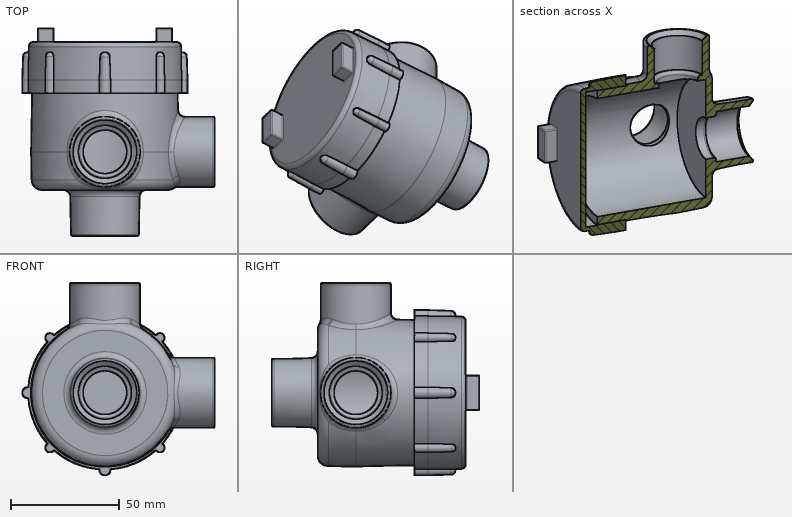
import cadquery as cq
import math


MOUTH_Y = 27.1
FLOOR_Y = -17.7
PARTING_RADIUS = 34.25
MOUTH_RADIUS = 33.7
FLOOR_RADIUS = 33.85
FLOOR_EDGE_FILLET = 5.0
FLOOR_THICKNESS = 3.5
CAVITY_DIAMETER = 58.0
NECK_DIAMETER = 66.42
NECK_LENGTH = 15.0
SEAM_ANGLE = 45

SIDE_DIRECTIONS = ("+X", "+Z")
SIDE_SPIGOT_RADIUS = 32.54 / 2
SIDE_SPIGOT_END = 50.8
AXIAL_SPIGOT_END = 38.92
AXIAL_SPIGOT_ROOT_RADIUS = 16.3
AXIAL_SPIGOT_END_RADIUS = 15.75
SPIGOT_ROOT = 10.0
SPIGOT_ROOT_FILLET = 3.0
RIM_FILLET = 0.9
BORE_RADIUS = 24.51 / 2
SIDE_BORE_DEPTH = 19.0
AXIAL_BORE_DEPTH = 19.0
LEAD_IN_RADIUS = 29.4 / 2
LEAD_IN_DEPTH = 2.2
THROAT_RADIUS = 20.12 / 2
THROAT_FILLET = 1.6

EDGE_MARGIN = 0.5
ROOT_EDGE_NEAR = 25.0

COVER_END_Y = 50.8
COVER_SKIRT_Y = 33.3
COVER_SKIRT_RADIUS = 35.55
COVER_END_RADIUS = 35.25
COVER_EDGE_FILLET = 2.2
COVER_THICKNESS = 3.0
COVER_INNER_Y = COVER_END_Y - COVER_THICKNESS

RIB_TIP_RADIUS = 38.25
AXIS_RIB_RADIUS = 2.6
AXIS_RIB_CENTRE = RIB_TIP_RADIUS - AXIS_RIB_RADIUS
DIAGONAL_RIB_RADIUS = 2.15
DIAGONAL_RIB_CENTRE = 36.0
RIB_TAPER = 0.87
RIB_END_Y = 46.1

LUG_TOP_Y = 57.12
LUG_WIDTH = 7.4
LUG_LENGTH = 16.1
LUG_SPACING = 54.7
LUG_FILLET = 0.5
LUG_ROOT_FILLET = 0.4


def revolve_about_y(profile):
    return profile.close().revolve(360, (0, 0, 0), (0, 1, 0))


def point_along(solid, direction):
    """Turn a solid whose axis points along -Y so that it points along -Y, +X or +Z."""
    if direction == "+X":
        return solid.rotate((0, 0, 0), (0, 0, 1), 90)
    if direction == "+Z":
        return solid.rotate((0, 0, 0), (1, 0, 0), -90)
    return solid


def spigot_blank(root_radius, end_radius, end):
    """Solid spigot along -Y with a rounded outer rim."""
    rim = end - RIM_FILLET
    arc_mid = RIM_FILLET * (1 - math.sqrt(0.5))
    return revolve_about_y(
        cq.Workplane("XY")
        .moveTo(0, -SPIGOT_ROOT)
        .lineTo(root_radius, -SPIGOT_ROOT)
        .lineTo(end_radius, -rim)
        .threePointArc((end_radius - arc_mid, -end + arc_mid), (end_radius - RIM_FILLET, -end))
        .lineTo(0, -end)
    )


def spigot_bore(end, depth):
    """Chamfered socket that ends in a rounded lip, with a narrower throat behind it."""
    bottom = end - depth
    arc_mid = THROAT_FILLET * (1 - math.sqrt(0.5))
    return revolve_about_y(
        cq.Workplane("XY")
        .moveTo(0, -end)
        .lineTo(LEAD_IN_RADIUS, -end)
        .lineTo(BORE_RADIUS, -end + LEAD_IN_DEPTH)
        .lineTo(BORE_RADIUS, -bottom)
        .lineTo(THROAT_RADIUS + THROAT_FILLET, -bottom)
        .threePointArc((THROAT_RADIUS + arc_mid, -bottom + arc_mid), (THROAT_RADIUS, -bottom + THROAT_FILLET))
        .lineTo(THROAT_RADIUS, 0)
        .lineTo(0, 0)
    )


def fillet_spigot_roots(body):
    """Round the closed edges where the three spigots leave the shell."""
    reach = SIDE_SPIGOT_RADIUS + EDGE_MARGIN
    near = ROOT_EDGE_NEAR
    far = PARTING_RADIUS + EDGE_MARGIN
    boxes = [
        ((-reach, FLOOR_Y - EDGE_MARGIN, -reach), (reach, FLOOR_Y + EDGE_MARGIN, reach)),
        ((near, -reach, -reach), (far, reach, reach)),
        ((-reach, -reach, near), (reach, reach, far)),
    ]
    for low, high in boxes:
        root_edges = cq.selectors.BoxSelector(low, high, boundingbox=True)
        body = body.edges(root_edges).fillet(SPIGOT_ROOT_FILLET)
    return body


def make_body():
    shell = revolve_about_y(
        cq.Workplane("XY")
        .moveTo(0, FLOOR_Y)
        .lineTo(FLOOR_RADIUS, FLOOR_Y)
        .lineTo(PARTING_RADIUS, 0)
        .lineTo(MOUTH_RADIUS, MOUTH_Y)
        .lineTo(0, MOUTH_Y)
    )
    shell = shell.faces("<Y").edges().fillet(FLOOR_EDGE_FILLET)

    shell = shell.rotate((0, 0, 0), (0, 1, 0), SEAM_ANGLE)

    side_spigot = spigot_blank(SIDE_SPIGOT_RADIUS, SIDE_SPIGOT_RADIUS, SIDE_SPIGOT_END)
    side_spigot = side_spigot.rotate((0, 0, 0), (0, 1, 0), SEAM_ANGLE)
    axial_spigot = spigot_blank(AXIAL_SPIGOT_ROOT_RADIUS, AXIAL_SPIGOT_END_RADIUS, AXIAL_SPIGOT_END)
    body = shell.union(axial_spigot)
    for direction in SIDE_DIRECTIONS:
        body = body.union(point_along(side_spigot, direction))
    body = fillet_spigot_roots(body)

    neck = cq.Workplane("XZ", origin=(0, MOUTH_Y, 0)).circle(NECK_DIAMETER / 2).extrude(-NECK_LENGTH)
    cavity_start = FLOOR_Y + FLOOR_THICKNESS
    cavity = (
        cq.Workplane("XZ", origin=(0, cavity_start, 0))
        .circle(CAVITY_DIAMETER / 2)
        .extrude(-(MOUTH_Y + NECK_LENGTH - cavity_start))
    )
    body = body.union(neck).cut(cavity).cut(spigot_bore(AXIAL_SPIGOT_END, AXIAL_BORE_DEPTH))
    side_bore = spigot_bore(SIDE_SPIGOT_END, SIDE_BORE_DEPTH)
    for direction in SIDE_DIRECTIONS:
        body = body.cut(point_along(side_bore, direction))
    return body


def grip_rib(radius, centre_radius, angle):
    """Round rib along Y: straight over the skirt, then tapering to a ball end."""
    tip = radius * RIB_TAPER
    ball_centre = RIB_END_Y - tip
    arc_mid = tip * math.sqrt(0.5)
    rib = revolve_about_y(
        cq.Workplane("XY")
        .moveTo(0, MOUTH_Y)
        .lineTo(radius, MOUTH_Y)
        .lineTo(radius, COVER_SKIRT_Y)
        .lineTo(tip, ball_centre)
        .threePointArc((arc_mid, ball_centre + arc_mid), (0, RIB_END_Y))
    )
    return rib.translate((centre_radius, 0, 0)).rotate((0, 0, 0), (0, 1, 0), angle)


def make_lug(x):
    lug = (
        cq.Workplane("XY")
        .box(LUG_WIDTH, LUG_TOP_Y - COVER_INNER_Y, LUG_LENGTH)
        .edges("|Y or >Y")
        .fillet(LUG_FILLET)
    )
    return lug.translate((x, (LUG_TOP_Y + COVER_INNER_Y) / 2, 0))


def make_cover():
    cover = revolve_about_y(
        cq.Workplane("XY")
        .moveTo(0, MOUTH_Y)
        .lineTo(COVER_SKIRT_RADIUS, MOUTH_Y)
        .lineTo(COVER_SKIRT_RADIUS, COVER_SKIRT_Y)
        .lineTo(COVER_END_RADIUS, COVER_END_Y)
        .lineTo(0, COVER_END_Y)
    )
    cover = cover.faces(">Y").edges().fillet(COVER_EDGE_FILLET)
    for angle in (0, 90, 180, 270):
        cover = cover.union(grip_rib(AXIS_RIB_RADIUS, AXIS_RIB_CENTRE, angle))
        cover = cover.union(grip_rib(DIAGONAL_RIB_RADIUS, DIAGONAL_RIB_CENTRE, angle + 45))
    for side in (-1, 1):
        cover = cover.union(make_lug(side * LUG_SPACING / 2))
    low = (-COVER_SKIRT_RADIUS, COVER_END_Y - LUG_ROOT_FILLET, -LUG_LENGTH)
    high = (COVER_SKIRT_RADIUS, COVER_END_Y + LUG_ROOT_FILLET, LUG_LENGTH)
    lug_roots = cq.selectors.BoxSelector(low, high, boundingbox=True)
    cover = cover.edges(lug_roots).fillet(LUG_ROOT_FILLET)
    recess = (
        cq.Workplane("XZ", origin=(0, MOUTH_Y, 0))
        .circle(NECK_DIAMETER / 2)
        .extrude(-(COVER_INNER_Y - MOUTH_Y))
    )
    return cover.cut(recess)


body = make_body()
cover = make_cover()
result = cq.Compound.makeCompound([body.val(), cover.val()])